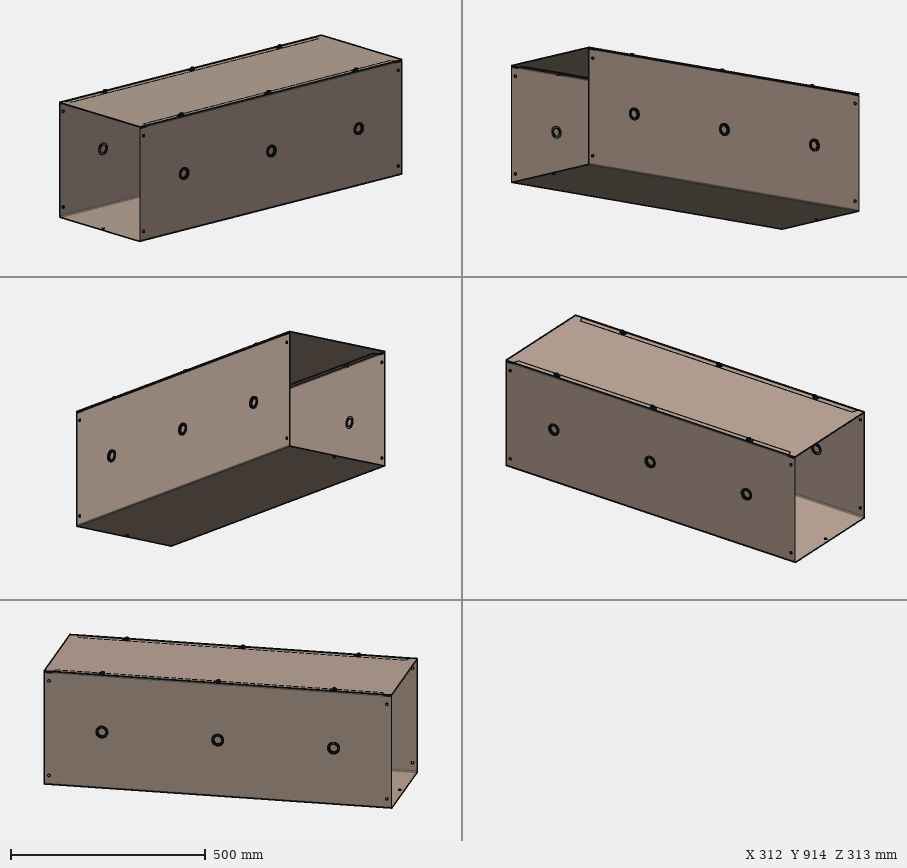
import cadquery as cq
length = 914.0
width = 306.0
height = 306.0
outer_width = 312.0
outer_height = 313.0

sheet = 1.4
bend_radius = 3.2
flange_width = 17.0
lid_thickness = 2.0
lid_top = height + lid_thickness

corner_at_wall = 20.0
corner_at_tip = 27.0

row_pitch = length / 3
rows = [-row_pitch, 0, row_pitch]
signs = [-1, 1]

ring_diameter = 31.0
ring_height = (outer_width - width) / 2
ring_bevel = 2.0
knockout_diameter = 21.0
knockout_depth = sheet / 2

hole_diameter = 6.0
hole_inset = 13.0
wall_hole_spacing = 256.0

screw_x = width / 2 - 8.0
screw_points = [(side * screw_x, y) for side in signs for y in rows]
head_diameter = 10.0
head_bevel = 2.0
shank_diameter = 7.0
screw_bottom = 301.0

entry_diameter = 13.0
entry_offset = 5.5


def full_length_bar(bar_width, bar_height, corner_radius):
    """Rounded bar along Y, centred on the trough section."""
    return (
        cq.Workplane("XZ", origin=(0, 0, height / 2))
        .rect(bar_width, bar_height)
        .extrude(length / 2, both=True)
        .edges("|Y")
        .fillet(corner_radius)
    )


def make_channel():
    """Bent channel with inward flanges along both top edges."""
    outside = full_length_bar(width, height, bend_radius)
    inside = full_length_bar(width - 2 * sheet, height - 2 * sheet, bend_radius - sheet)
    opening = (
        cq.Workplane("XY", origin=(0, 0, height / 2))
        .rect(width - 2 * flange_width, length)
        .extrude(height / 2)
    )
    return outside.cut(inside).cut(opening)


def cut_flange_ends(channel):
    """Shorten both flanges at both ends with an angled cut."""
    for side in signs:
        for end in signs:
            wall_x = side * width / 2
            tip_x = side * (width / 2 - flange_width)
            end_y = end * length / 2
            corner = (
                cq.Workplane("XY", origin=(0, 0, height - bend_radius))
                .moveTo(wall_x, end_y)
                .lineTo(wall_x, end_y - end * corner_at_wall)
                .lineTo(tip_x, end_y - end * corner_at_tip)
                .lineTo(tip_x, end_y)
                .close()
                .extrude(bend_radius)
            )
            channel = channel.cut(corner)
    return channel


def add_knockouts(channel):
    """Raised ring outside and shallow round recess inside, in rows on both walls."""
    for side in signs:
        for y in rows:
            wall_face = cq.Plane(
                origin=(side * width / 2, y, height / 2), xDir=(0, 1, 0), normal=(side, 0, 0)
            )
            ring = (
                cq.Workplane(wall_face)
                .circle(ring_diameter / 2)
                .circle(knockout_diameter / 2)
                .extrude(ring_height)
                .faces(">X" if side > 0 else "<X")
                .edges(cq.selectors.RadiusNthSelector(0))
                .chamfer(ring_bevel)
            )
            recess = (
                cq.Workplane(wall_face)
                .workplane(offset=-sheet)
                .circle(knockout_diameter / 2)
                .extrude(knockout_depth)
            )
            channel = channel.union(ring).cut(recess)
    return channel


def cut_mounting_holes(channel):
    """Four holes through each side wall and one at each end of the floor."""
    wall_holes = (
        cq.Workplane("YZ", origin=(0, 0, height / 2))
        .rect(length - 2 * hole_inset, wall_hole_spacing, forConstruction=True)
        .vertices()
        .circle(hole_diameter / 2)
        .extrude(width / 2, both=True)
    )
    floor_holes = (
        cq.Workplane("XY")
        .pushPoints([(0, end * (length / 2 - hole_inset)) for end in signs])
        .circle(hole_diameter / 2)
        .extrude(sheet)
    )
    return channel.cut(wall_holes).cut(floor_holes)


def cut_screw_holes(channel):
    """Holes in the flanges that the screw shanks fill."""
    holes = (
        cq.Workplane("XY", origin=(0, 0, height - sheet))
        .pushPoints(screw_points)
        .circle(shank_diameter / 2)
        .extrude(sheet)
    )
    return channel.cut(holes)


def make_trough():
    channel = make_channel()
    channel = cut_flange_ends(channel)
    channel = add_knockouts(channel)
    channel = cut_mounting_holes(channel)
    return cut_screw_holes(channel)


def make_lid():
    """Flat cover with a keyhole at every screw."""
    lid_base = cq.Workplane("XY", origin=(0, 0, height))
    plate = lid_base.rect(width, length).extrude(lid_thickness)
    seats = lid_base.pushPoints(screw_points).circle(shank_diameter / 2).extrude(lid_thickness)
    entry_points = [(x, y - entry_offset) for x, y in screw_points]
    entries = lid_base.pushPoints(entry_points).circle(entry_diameter / 2).extrude(lid_thickness)
    return plate.cut(seats).cut(entries)


def make_screw(x, y):
    """Screw with a bevelled head resting on the lid."""
    shank = (
        cq.Workplane("XY", origin=(x, y, screw_bottom))
        .circle(shank_diameter / 2)
        .extrude(lid_top - screw_bottom)
    )
    head = (
        cq.Workplane("XY", origin=(x, y, lid_top))
        .circle(head_diameter / 2)
        .extrude(outer_height - lid_top)
        .faces(">Z")
        .edges()
        .chamfer(head_bevel)
    )
    return shank.union(head)


trough = make_trough()
lid = make_lid()
screws = [make_screw(x, y).val() for x, y in screw_points]

result = cq.Compound.makeCompound([trough.val(), lid.val(), *screws])